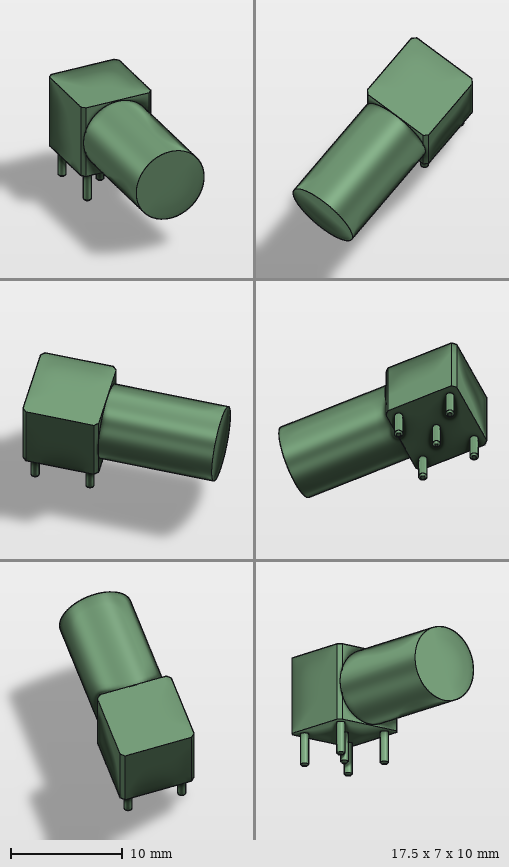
import cadquery as cq

overall_length = 17.5
body_size = 7.0
corner_chamfer = 0.35
barrel_diameter = 6.8
barrel_length = overall_length - body_size

pin_pitch = 5.08
ground_pin_diameter = 0.75
ground_pin_length = 3.0
signal_pin_diameter = 0.7
signal_pin_length = 2.84
ground_tip_chamfer = 0.18
signal_tip_chamfer = 0.21


def make_pin(x, y, diameter, length, tip_chamfer):
    """Round pin hanging from the body underside, with a chamfered tip."""
    pin = cq.Workplane("XY").circle(diameter / 2).extrude(-length)
    return pin.faces("<Z").chamfer(tip_chamfer).translate((x, y, 0))


body = (
    cq.Workplane("XY")
    .box(body_size, body_size, body_size, centered=(True, True, False))
    .edges("|Z")
    .chamfer(corner_chamfer)
)

barrel = (
    cq.Workplane("YZ", origin=(body_size / 2, 0, body_size / 2))
    .circle(barrel_diameter / 2)
    .extrude(barrel_length)
)

result = body.union(barrel)

result = result.union(make_pin(0, 0, signal_pin_diameter, signal_pin_length, signal_tip_chamfer))
for x in (-pin_pitch / 2, pin_pitch / 2):
    for y in (-pin_pitch / 2, pin_pitch / 2):
        ground_pin = make_pin(x, y, ground_pin_diameter, ground_pin_length, ground_tip_chamfer)
        result = result.union(ground_pin)